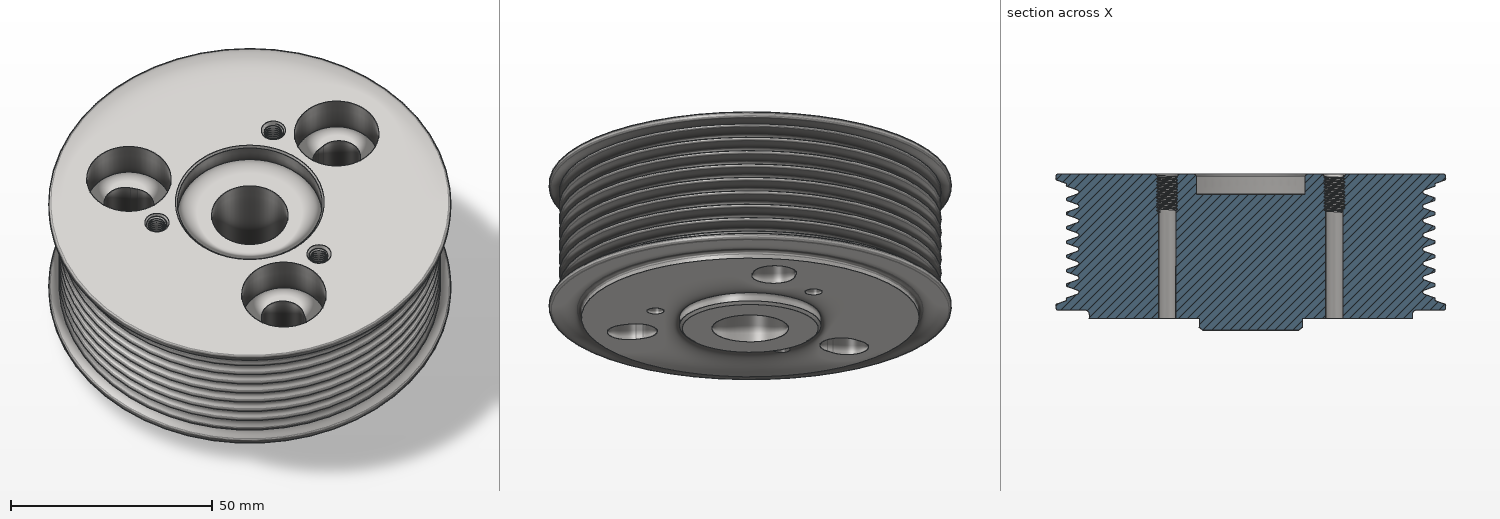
import cadquery as cq
import math

total_height = 38.9
hub_height = 2.9
hub_diameter = 35.2
hub_chamfer = 0.7
step_height = 2.1
step_diameter = 84.0
step_fillet = 1.0

flange_diameter = 100.0
flange_edge_fillet = 0.5
flange_thickness = 1.5
belt_diameter = 95.0
groove_count = 8
groove_span = 24.9
flank_angle = math.radians(20.0)
rib_round = 0.48
end_rib_round = 0.3

bore_diameter = 19.0
recess_diameter = 36.0
recess_depth = 5.0
recess_chamfer = 0.5

hole_count = 3
mount_circle_radius = 31.0
mount_first_angle = 90.0
counterbore_diameter = 21.0
counterbore_depth = 10.0
slot_length = 12.5
slot_width = 10.7
thread_circle_radius = 24.0
thread_first_angle = 0.0
thread_minor_diameter = 4.2
thread_major_diameter = 5.1
thread_pitch = 0.8
thread_turns = 12
thread_root_width = 0.1
thread_mouth_width = 0.7
thread_countersink_diameter = 6.0

flange_bottom = hub_height + step_height
flange_radius = flange_diameter / 2
belt_radius = belt_diameter / 2
step_radius = step_diameter / 2
hub_radius = hub_diameter / 2
flange_slope_height = (flange_radius - belt_radius) * math.tan(flank_angle)
belt_start = flange_bottom + flange_thickness + flange_slope_height
belt_end = total_height - flange_thickness - flange_slope_height
belt_middle = (belt_start + belt_end) / 2

groove_pitch = groove_span / (groove_count - 1)
round_rise = rib_round * (1 - math.sin(flank_angle))
round_half_width = rib_round * math.cos(flank_angle)
shoulder_radius = belt_radius - round_rise
shoulder_half_width = groove_pitch / 2 - round_half_width
floor_edge_radius = shoulder_radius - (shoulder_half_width - round_half_width) / math.tan(flank_angle)
floor_radius = floor_edge_radius - round_rise

end_shoulder_radius = belt_radius - end_rib_round * (1 - math.sin(flank_angle))
end_half_width = shoulder_half_width + (end_shoulder_radius - shoulder_radius) * math.tan(flank_angle)
end_round_start = end_half_width + end_rib_round * math.cos(flank_angle)


def pulley_body():
    """Revolve the half section of the flanges, belt grooves, step and hub."""
    first_groove = belt_middle - groove_span / 2
    last_groove = belt_middle + groove_span / 2
    profile = (
        cq.Workplane("XZ")
        .moveTo(0, 0)
        .lineTo(hub_radius - hub_chamfer, 0)
        .lineTo(hub_radius, hub_chamfer)
        .lineTo(hub_radius, hub_height)
        .lineTo(step_radius, hub_height)
        .lineTo(step_radius, flange_bottom - step_fillet)
        .radiusArc((step_radius + step_fillet, flange_bottom), step_fillet)
        .lineTo(flange_radius, flange_bottom)
        .lineTo(flange_radius, flange_bottom + flange_thickness)
        .lineTo(belt_radius, belt_start)
        .lineTo(belt_radius, first_groove - end_round_start)
        .radiusArc((end_shoulder_radius, first_groove - end_half_width), -end_rib_round)
    )
    for index in range(groove_count):
        middle = first_groove + index * groove_pitch
        if index > 0:
            crown = (belt_radius, middle - groove_pitch / 2)
            profile = profile.threePointArc(crown, (shoulder_radius, middle - shoulder_half_width))
        profile = profile.lineTo(floor_edge_radius, middle - round_half_width).threePointArc(
            (floor_radius, middle), (floor_edge_radius, middle + round_half_width)
        )
        if index < groove_count - 1:
            profile = profile.lineTo(shoulder_radius, middle + shoulder_half_width)
    profile = (
        profile.lineTo(end_shoulder_radius, last_groove + end_half_width)
        .radiusArc((belt_radius, last_groove + end_round_start), -end_rib_round)
        .lineTo(belt_radius, belt_end)
        .lineTo(flange_radius, total_height - flange_thickness)
        .lineTo(flange_radius, total_height)
        .lineTo(0, total_height)
        .close()
    )
    body = profile.revolve(360, (0, 0, 0), (0, 1, 0))
    return body.edges(cq.selectors.RadiusNthSelector(-1)).fillet(flange_edge_fillet)


def hole(diameter, depth):
    """Cylinder along the part's axis that goes down from the top face."""
    return cq.Workplane("XY").workplane(offset=total_height - depth).circle(diameter / 2).extrude(depth)


def cut_around_axis(body, cutter, radius, first_angle):
    """Cut equally spaced copies of a cutter, moved out along X and turned about the part's axis."""
    moved = cutter.translate((radius, 0, 0))
    for index in range(hole_count):
        angle = first_angle + index * 360 / hole_count
        body = body.cut(moved.rotate((0, 0, 0), (0, 0, 1), angle))
    return body


def lead_in(small_diameter, large_diameter):
    """45 degree cone that widens from the small to the large diameter at the top face."""
    depth = (large_diameter - small_diameter) / 2
    return (
        cq.Workplane("XY")
        .workplane(offset=total_height - depth)
        .circle(small_diameter / 2)
        .workplane(offset=depth)
        .circle(large_diameter / 2)
        .loft()
    )


def central_cutter():
    """Through bore with a chamfered recess in the top face."""
    recess = hole(recess_diameter, recess_depth)
    chamfer = lead_in(recess_diameter, recess_diameter + 2 * recess_chamfer)
    return hole(bore_diameter, total_height).union(recess).union(chamfer)


def mount_cutter():
    """Radial slot through the part below a round counterbore."""
    slot = cq.Workplane("XY").slot2D(slot_length, slot_width).extrude(total_height)
    return hole(counterbore_diameter, counterbore_depth).union(slot)


def thread_groove():
    """Helical groove of tapered section that runs out through the top face."""
    minor_radius = thread_minor_diameter / 2
    major_radius = thread_major_diameter / 2
    section = (
        (minor_radius, -thread_mouth_width / 2),
        (major_radius, -thread_root_width / 2),
        (major_radius, thread_root_width / 2),
        (minor_radius, thread_mouth_width / 2),
    )
    length = thread_turns * thread_pitch
    helices = [
        cq.Wire.makeHelix(thread_pitch, length, radius).translate(cq.Vector(0, 0, height))
        for radius, height in section
    ]
    faces = []
    for index, helix in enumerate(helices):
        strip = cq.Face.makeRuledSurface(helix, helices[(index + 1) % len(helices)])
        faces.extend(strip.Faces())
    for end_height in (0, length):
        corners = [cq.Vector(radius, 0, height + end_height) for radius, height in section]
        faces.append(cq.Face.makeFromWires(cq.Wire.makePolygon(corners, close=True)))
    groove = cq.Solid.makeSolid(cq.Shell.makeShell(faces))
    groove_start = total_height + thread_pitch / 2 - length
    return cq.Workplane(groove.translate(cq.Vector(0, 0, groove_start)))


result = pulley_body().cut(central_cutter())
result = cut_around_axis(result, mount_cutter(), mount_circle_radius, mount_first_angle)
tap_hole = hole(thread_minor_diameter, total_height)
countersink = lead_in(thread_minor_diameter, thread_countersink_diameter)
for cutter in (tap_hole, thread_groove(), countersink):
    result = cut_around_axis(result, cutter, thread_circle_radius, thread_first_angle)